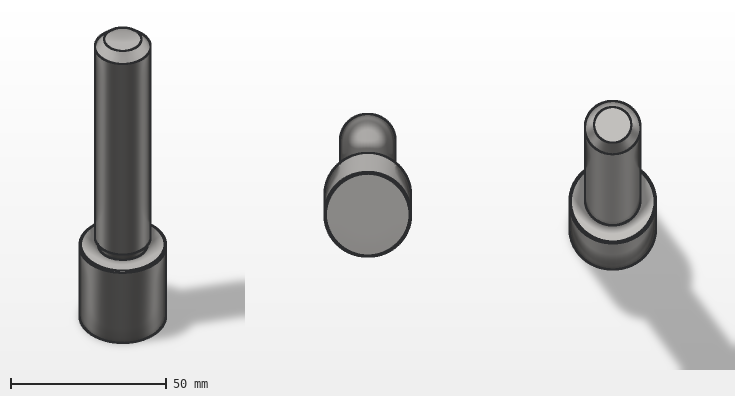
import cadquery as cq

total_length = 115.0
head_diameter = 28.0
head_height = 30.0
head_chamfer = 0.5
neck_diameter = 16.0
neck_height = 3.0
shank_diameter = 18.0
tip_chamfer = 3.0

shank_start = head_height + neck_height
shank_length = total_length - shank_start


def cylinder(diameter, base_z, height):
    """Solid cylinder on the Z axis, starting at base_z."""
    return cq.Workplane("XY").workplane(offset=base_z).circle(diameter / 2).extrude(height)


head = cylinder(head_diameter, 0, head_height).edges().chamfer(head_chamfer)

neck = cylinder(neck_diameter, head_height, neck_height)

shank = cylinder(shank_diameter, shank_start, shank_length).faces(">Z").edges().chamfer(tip_chamfer)

result = head.union(neck).union(shank)